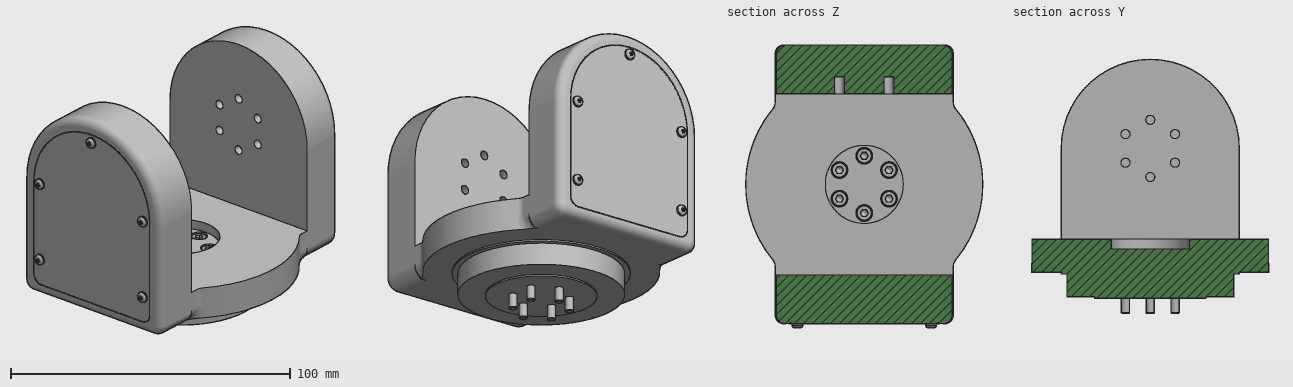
import cadquery as cq
import math

overall_length = 101.4
body_length = 100.0
body_width = 63.9
gap_between_arms = 64.9
pivot_height = 44.4
base_thickness = 12.0
disc_radius = 42.5
rear_foot_radius = 4.9
front_foot_radius = 3.9
bridge_foot_radius = 4.6
rim_fillet = 3.2
neck_fillet = 4.0

flange_plate_diameter = body_width
flange_plate_thickness = 0.6
flange_diameter = 59.8
flange_thickness = 8.1
spigot_diameter = 40.0
spigot_thickness = 0.6

socket_point_angle = 30

pocket_diameter = 28.0
pocket_depth = 3.5
bolt_circle_radius = 10.2
bolt_count = 6
first_bolt_angle = 90
counterbore_diameter = 6.0
counterbore_depth = 3.0
head_diameter = 5.5
head_below_pocket = 0.3
head_chamfer = 0.2
base_hex_flats = 2.5
base_hex_depth = 1.5
shank_diameter = 3.0
shank_projection = 5.4
shank_chamfer = 0.3

arm_hole_diameter = 3.2
arm_hole_depth = 6.1

cover_width = 53.9
cover_bottom = 4.2
cover_corner_radius = 3.5
groove_width = 0.1
groove_depth = 0.5

button_offset = 23.9
button_low_height = 14.3
button_diameter = 4.0
button_height = overall_length - body_length
button_rim_height = 0.6
button_flat_diameter = 2.0
button_dome_bulge = 0.15
button_hex_flats = 1.2
button_hex_depth = 0.6

half_width = body_width / 2
half_length = body_length / 2
half_gap = gap_between_arms / 2
flange_bottom = -flange_plate_thickness - flange_thickness
spigot_bottom = flange_bottom - spigot_thickness
shank_bottom = spigot_bottom - shank_projection
pocket_floor = base_thickness - pocket_depth


def arched_outline(plane, half, bottom):
    """Outline with a flat bottom, straight sides and a half-round top about the pivot."""
    return (
        cq.Workplane(plane)
        .moveTo(-half, bottom)
        .lineTo(-half, pivot_height)
        .threePointArc((0, pivot_height + half), (half, pivot_height))
        .lineTo(half, bottom)
        .close()
    )


def cone_bottom_hex(across_flats, depth):
    """Hexagonal socket opening at z = 0 and ending in a shallow drill point."""
    corner_diameter = across_flats / math.cos(math.pi / 6)
    socket = cq.Workplane("XY").polygon(6, corner_diameter).extrude(-depth)
    point_depth = across_flats / 2 * math.tan(math.radians(socket_point_angle))
    point_base = cq.Vector(0, 0, -depth)
    point = cq.Solid.makeCone(across_flats / 2, 0, point_depth, point_base, cq.Vector(0, 0, -1))
    return socket.union(cq.Workplane(point))


def make_arm(side, foot_radius):
    """One upright arm; side is -1 for the front arm and 1 for the rear arm."""
    arm_thickness = half_length - half_gap
    arm = arched_outline("XZ", half_width, 0).extrude(-side * arm_thickness)
    arm = arm.edges("|Y and <Z").fillet(foot_radius)
    arm = arm.faces(">Y" if side > 0 else "<Y").edges().fillet(rim_fillet)
    return arm.translate((0, side * half_gap, 0))


def make_bridge():
    """Straight-sided bar under the disc, running the full length of the body."""
    bridge = cq.Workplane("XY").rect(body_width, body_length).extrude(base_thickness)
    return bridge.edges("|Y and <Z").fillet(bridge_foot_radius)


def make_base():
    """Bridge and disc with rounded necks between them, trimmed to the gap between the arms."""
    disc = cq.Workplane("XY").circle(disc_radius).extrude(base_thickness)
    base = make_bridge().union(disc)
    neck_y = math.sqrt(disc_radius**2 - half_width**2)
    for x in (-half_width, half_width):
        for y in (-neck_y, neck_y):
            corner = cq.selectors.NearestToPointSelector((x, y, base_thickness / 2))
            base = base.edges("|Z").edges(corner).fillet(neck_fillet)
    between_arms = cq.Workplane("XY").rect(2 * disc_radius, gap_between_arms).extrude(base_thickness)
    return base.intersect(between_arms)


def make_flange():
    plate = cq.Workplane("XY").circle(flange_plate_diameter / 2).extrude(-flange_plate_thickness)
    ring = cq.Workplane("XY").circle(flange_diameter / 2).extrude(flange_bottom)
    spigot = cq.Workplane("XY").circle(spigot_diameter / 2).extrude(spigot_bottom)
    return plate.union(ring).union(spigot)


def bolt_circle(workplane):
    """Six points on the bolt circle, with the first one at the top."""
    return workplane.polarArray(bolt_circle_radius, first_bolt_angle, 360, bolt_count)


def make_base_pocket():
    pocket = (
        cq.Workplane("XY", origin=(0, 0, pocket_floor))
        .circle(pocket_diameter / 2)
        .extrude(pocket_depth)
    )
    floor = cq.Workplane("XY", origin=(0, 0, pocket_floor))
    counterbores = bolt_circle(floor).circle(counterbore_diameter / 2).extrude(-counterbore_depth)
    return pocket.union(counterbores)


def make_base_screw():
    """Socket-head screw on the Z axis, reaching from its head down to its free end."""
    head_top = pocket_floor - head_below_pocket
    head_bottom = pocket_floor - counterbore_depth
    head = (
        cq.Workplane("XY", origin=(0, 0, head_bottom))
        .circle(head_diameter / 2)
        .extrude(head_top - head_bottom)
        .faces(">Z")
        .chamfer(head_chamfer)
    )
    shank = (
        cq.Workplane("XY", origin=(0, 0, shank_bottom))
        .circle(shank_diameter / 2)
        .extrude(head_bottom - shank_bottom)
        .faces("<Z")
        .chamfer(shank_chamfer)
    )
    socket = cone_bottom_hex(base_hex_flats, base_hex_depth).translate((0, 0, head_top))
    return head.union(shank).cut(socket)


def make_arm_holes():
    inner_face = cq.Workplane("XZ", origin=(0, half_gap, pivot_height))
    return bolt_circle(inner_face).circle(arm_hole_diameter / 2).extrude(-arm_hole_depth)


def make_cover_groove():
    half_cover = cover_width / 2
    outer = arched_outline("XZ", half_cover, cover_bottom).extrude(groove_depth)
    outer = outer.edges("|Y and <Z").fillet(cover_corner_radius)
    inner = arched_outline("XZ", half_cover - groove_width, cover_bottom + groove_width)
    inner = inner.extrude(groove_depth)
    inner = inner.edges("|Y and <Z").fillet(cover_corner_radius - groove_width)
    return outer.cut(inner).translate((0, groove_depth - half_length, 0))


def make_button_screw():
    """Domed screw head standing on z = 0 and pointing up."""
    rim = button_diameter / 2
    flat = button_flat_diameter / 2
    shoulder = (
        (rim + flat) / 2 + button_dome_bulge,
        (button_rim_height + button_height) / 2 + button_dome_bulge,
    )
    head = (
        cq.Workplane("XZ")
        .lineTo(rim, 0)
        .lineTo(rim, button_rim_height)
        .threePointArc(shoulder, (flat, button_height))
        .lineTo(0, button_height)
        .close()
        .revolve(360, (0, 0, 0), (0, 1, 0))
    )
    socket = cone_bottom_hex(button_hex_flats, button_hex_depth).translate((0, 0, button_height))
    return head.cut(socket)


body = make_base().union(make_arm(-1, front_foot_radius)).union(make_arm(1, rear_foot_radius))
result = body.union(make_flange()).cut(make_base_pocket())

base_screw = make_base_screw()
for index in range(bolt_count):
    angle = math.radians(first_bolt_angle + index * 360 / bolt_count)
    x = bolt_circle_radius * math.cos(angle)
    y = bolt_circle_radius * math.sin(angle)
    result = result.union(base_screw.translate((x, y, 0)))

result = result.cut(make_arm_holes()).cut(make_cover_groove())

button_screw = make_button_screw().rotate((0, 0, 0), (1, 0, 0), 90)
button_places = [(0, pivot_height + button_offset)]
for x in (-button_offset, button_offset):
    for z in (button_low_height, pivot_height):
        button_places.append((x, z))
for x, z in button_places:
    result = result.union(button_screw.translate((x, -half_length, z)))